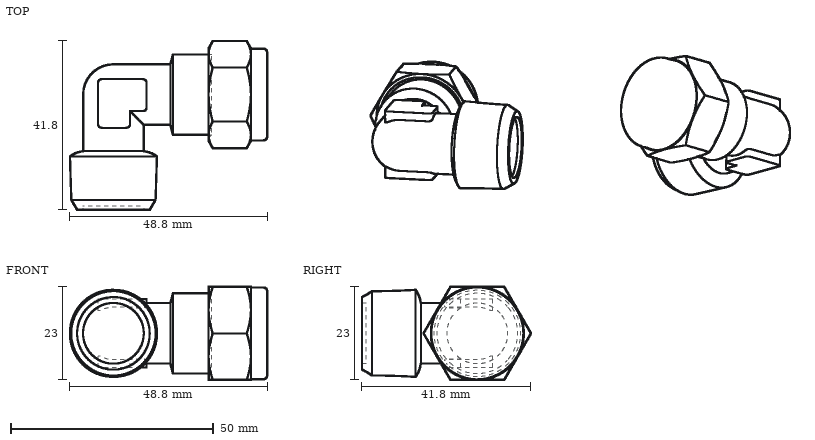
import cadquery as cq
import math

pipe_radius = 7.5

thread_start = 13.95
thread_shoulder = 15.25
thread_taper_end = 26.0
thread_end = 28.5
thread_shoulder_radius = 10.8
thread_taper_radius = 10.45
thread_tip_radius = 8.95
thread_shoulder_bulge = 0.25
socket_depth = 0.98

collar_start = 14.05
collar_shoulder = 14.7
collar_radius = 9.95
nut_start = 23.5
nut_hex_end = 33.95
nut_end = 38.0
nut_flats = 23.0
nut_corner_radius = nut_flats / math.sqrt(3)
nut_face_radius = nut_flats / 2
nut_chamfer_angle = 30
nut_rim_radius = 11.35
nut_rim_fillet = 0.98
nut_countersink_radius = 10.7

pad_outer = 3.8
pad_inner = 4.1
pad_reach = 8.2
pad_height = 8.5
pad_corner_radius = 0.95


def revolve_along_x(profile):
    """Revolve (x, radius) points about the X axis."""
    return cq.Workplane("XY").polyline(profile).close().revolve(360, (0, 0), (1, 0))


def make_elbow():
    nut_pipe = cq.Workplane("YZ").circle(pipe_radius).extrude(nut_start)
    thread_pipe = cq.Workplane("XZ").circle(pipe_radius).extrude(thread_shoulder)
    return cq.Workplane("XY").sphere(pipe_radius).union(nut_pipe).union(thread_pipe)


def make_pad_leg(x_max, y_min):
    """Rounded block from the outer pad corner to (x_max, y_min), spanning both pads."""
    return (
        cq.Workplane("XY")
        .moveTo((x_max - pad_outer) / 2, (y_min + pad_outer) / 2)
        .rect(x_max + pad_outer, pad_outer - y_min)
        .extrude(pad_height, both=True)
        .edges("|Z")
        .fillet(pad_corner_radius)
    )


def make_pads():
    nut_leg = make_pad_leg(pad_reach, -pad_inner)
    thread_leg = make_pad_leg(pad_inner, -pad_reach)
    return nut_leg.union(thread_leg)


def make_thread():
    socket_floor = thread_end - socket_depth
    profile = (
        cq.Workplane("XY")
        .moveTo(thread_start, 0)
        .lineTo(thread_start, pipe_radius)
        .sagittaArc((thread_shoulder, thread_shoulder_radius), thread_shoulder_bulge)
        .lineTo(thread_taper_end, thread_taper_radius)
        .lineTo(thread_end, thread_tip_radius)
        .lineTo(thread_end, pipe_radius)
        .lineTo(socket_floor, pipe_radius)
        .lineTo(socket_floor, 0)
        .close()
    )
    return profile.revolve(360, (0, 0), (1, 0)).rotate((0, 0, 0), (0, 0, 1), -90)


def make_collar():
    profile = [
        (collar_start, 0),
        (collar_start, pipe_radius),
        (collar_shoulder, collar_radius),
        (nut_hex_end, collar_radius),
        (nut_hex_end, 0),
    ]
    return revolve_along_x(profile)


def make_nut():
    chamfer_length = (nut_corner_radius - nut_face_radius) * math.tan(math.radians(nut_chamfer_angle))
    hexagon = (
        cq.Workplane("YZ", origin=(nut_start, 0, 0))
        .polygon(6, 2 * nut_corner_radius)
        .extrude(nut_hex_end - nut_start)
    )
    corner_envelope = revolve_along_x([
        (nut_start, 0),
        (nut_start, nut_face_radius),
        (nut_start + chamfer_length, nut_corner_radius),
        (nut_hex_end - chamfer_length, nut_corner_radius),
        (nut_hex_end, nut_face_radius),
        (nut_hex_end, 0),
    ])
    rim = (
        cq.Workplane("YZ", origin=(nut_hex_end, 0, 0))
        .circle(nut_rim_radius)
        .extrude(nut_end - nut_hex_end)
        .faces(">X")
        .edges()
        .fillet(nut_rim_fillet)
    )
    countersink_floor = nut_start + nut_countersink_radius - collar_radius
    countersink = revolve_along_x([
        (nut_start, 0),
        (nut_start, nut_countersink_radius),
        (countersink_floor, collar_radius),
        (countersink_floor, 0),
    ])
    return hexagon.intersect(corner_envelope).union(rim).cut(countersink)


result = (
    make_elbow()
    .union(make_pads())
    .union(make_thread())
    .union(make_nut())
    .union(make_collar())
)